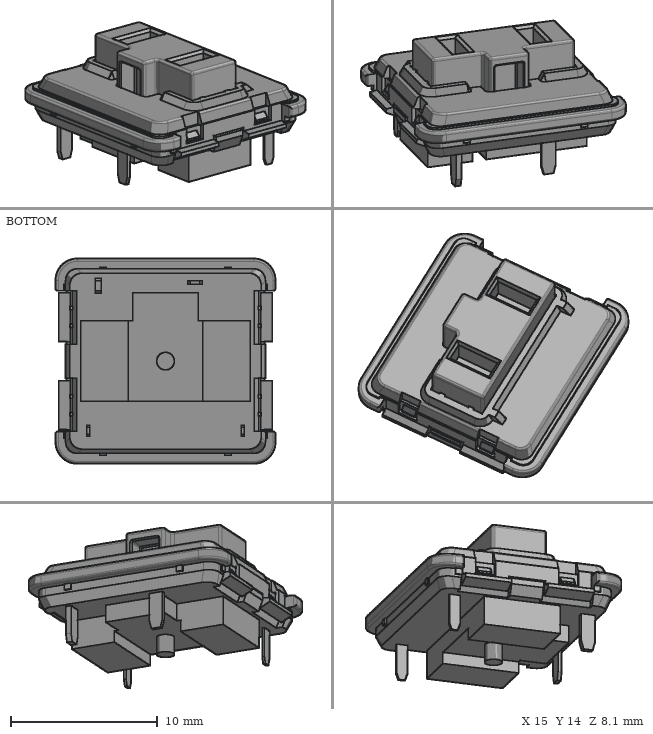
import cadquery as cq
import math


TAPER_TOP = 0.75
FLANGE_BOTTOM = 1.34
FLANGE_TOP = 2.18
LEDGE_TOP = 2.31
COVER_TOP = 3.08
COLLAR_TOP = 3.58
STEM_TOP = 5.56
BLOCK_BOTTOM = -2.02
CHANNEL_TOP = -1.22
PEG_BOTTOM = -2.46
LEG_BOTTOM = -2.54

FLANGE_X = 15.0
FLANGE_Y = 14.0
FLANGE_R = 1.5
EDGE_R = 0.18
WALL_X = 13.62
WALL_Y = 12.57
WALL_R = 0.8
FOOT_INSET = 0.3
BLOCK_X = 11.52
BLOCK_Y = 5.49
CHANNEL_HALF = 2.52
FRONT_BLOCK_HALF = 2.24
FRONT_BLOCK_END = -4.65
PEG_DIAMETER = 1.2
RECESS_X = 6.35
RECESS_Y = 4.78
KEY_HALF = 1.15
KEY_TOP = 1.15
RIB_BOTTOM = 0.93
RIB_OUT = 0.12
FRONT_RIB_X = 4.26
RIB_WIDTH = 0.46

SNAP_Y = 3.02
SNAP_WINDOW_WIDTH = 1.44
SNAP_WINDOW_BOTTOM = 1.25
SNAP_WINDOW_X = 6.16
NUB_WIDTH = 0.99
NUB_OUT = 0.28
NUB_TOP = 1.85
NUB_LIP_TOP = 1.47
NUB_BOTTOM = 1.34

LEDGE_X = 13.83
LEDGE_Y = 12.81
LEDGE_R = 0.75
LEDGE_CUT_Y = 5.1
DOME_X = 13.26
DOME_Y = 12.33
DOME_R = 0.81
DOME_INSET = 0.32
DOME_EDGE_R = 0.2
SKIRT_OUTER = 6.75
SKIRT_INNER = 6.5
SKIRT_HALF = 4.66
SKIRT_BOTTOM = 0.28
SKIRT_GAP_HALF = 1.34
SKIRT_GAP_TOP = 1.28
WING_TIP_X = 7.28
WING_ROOT_TOP = 1.02
WING_TIP_TOP = 0.93
WING_TIP_BOTTOM = 0.66
COLLAR_X = 12.21
COLLAR_Y = 5.43
COLLAR_R = 0.96
COLLAR_INSET = 0.28
COLLAR_GAP_HALF = 2.52
RAMP_X = 4.86
RAMP_WIDTH = 0.55
RAMP_CREST_Y = 2.9
RAMP_TOE_Y = 3.48

STEM_HALF_X = 5.19
STEM_HALF_Y = 2.0
STEM_R = 0.2
NOSE_HALF = 1.47
NOSE_Y = -3.16
HOLE_GAP = 0.1
GUIDE_Y = 1.11
GUIDE_WIDTH = 0.4
NOSE_HOLE_R = 0.38
POCKET_X = 2.82
POCKET_WIDTH = 1.2
POCKET_LENGTH = 3.0
POCKET_DEPTH = 1.8
POCKET_BEVEL = 0.2
NICHE_HALF = 1.02
NICHE_TOP = 4.89
NICHE_DEPTH = 1.36
NICHE_BEVEL = 0.1
NICHE_R = 0.12

PIN_WIDTH = 1.0
LEFT_PIN_THICKNESS = 0.4
RIGHT_PIN_THICKNESS = 0.27
PIN_TAPER_TOP = -1.95
LEFT_PIN_Y = -5.13
RIGHT_PIN_Y = -5.35
LEFT_PIN_X = -4.58
RIGHT_PIN_X = 2.01
LEG_X = 5.26
LEG_Y = 4.74
LEG_WIDTH = 0.78
LEG_THICKNESS = 0.18
LEG_TAPER_TOP = -2.08
TIP_INSET = 0.16

SIDES = (-1, 1)
PICK_MARGIN = 0.02


def box(x0, x1, y0, y1, z0, z1):
    """Box between two opposite corners, given in either order along each axis."""
    corner = (min(x0, x1), min(y0, y1), min(z0, z1))
    size = (abs(x1 - x0), abs(y1 - y0), abs(z1 - z0))
    return cq.Workplane("XY").box(*size, centered=False).translate(corner)


def rounded_slab(length, width, radius, bottom, top):
    """Upright slab with rounded corners, centred on the Z axis."""
    outline = cq.Sketch().rect(length, width).vertices().fillet(radius)
    return cq.Workplane("XY", origin=(0, 0, bottom)).placeSketch(outline).extrude(top - bottom)


def tapered_slab(length, width, radius, inset, wide_z, narrow_z):
    """Slab with the same corner radius at both ends, narrowing by the inset on every side."""
    wide = cq.Sketch().rect(length, width).vertices().fillet(radius)
    narrow = cq.Sketch().rect(length - 2 * inset, width - 2 * inset).vertices().fillet(radius)
    narrow = narrow.moved(cq.Location(cq.Vector(0, 0, narrow_z - wide_z)))
    return cq.Workplane("XY", origin=(0, 0, wide_z)).placeSketch(wide, narrow).loft()


def prism_along_y(points, y0, y1):
    """Outline of (x, z) points swept from y0 to y1."""
    return cq.Workplane("XZ", origin=(0, y1, 0)).polyline(points).close().extrude(y1 - y0)


def prism_along_x(points, x0, x1):
    """Outline of (y, z) points swept from x0 to x1."""
    return cq.Workplane("YZ", origin=(x0, 0, 0)).polyline(points).close().extrude(x1 - x0)


def side_recess(side, y0, y1):
    """Cutter for a side recess whose inner face follows the taper of the foot."""
    points = [
        (side * FLANGE_X, 0),
        (side * (RECESS_X - FOOT_INSET), 0),
        (side * RECESS_X, TAPER_TOP),
        (side * RECESS_X, FLANGE_TOP),
        (side * FLANGE_X, FLANGE_TOP),
    ]
    return prism_along_y(points, y0, y1)


def flange():
    """Rounded rim, split into a front and a rear part by the side recesses."""
    rim = rounded_slab(FLANGE_X, FLANGE_Y, FLANGE_R, FLANGE_BOTTOM, FLANGE_TOP)
    ends = rim
    for side in SIDES:
        gap = box(side * RECESS_X, side * FLANGE_X, -RECESS_Y, RECESS_Y, FLANGE_BOTTOM, FLANGE_TOP)
        ends = ends.cut(gap)
        for end in SIDES:
            corner = cq.selectors.NearestToPointSelector(
                (side * FLANGE_X / 2, end * RECESS_Y, (FLANGE_BOTTOM + FLANGE_TOP) / 2)
            )
            ends = ends.edges("|Z").edges(corner).fillet(EDGE_R)
    return ends.intersect(rim.faces("<Z or >Z").edges().fillet(EDGE_R))


def nub(side, y):
    """Snap wedge with a sloped top and a flat underside."""
    tip = RECESS_X + NUB_OUT
    root = RECESS_X - NUB_OUT
    points = [
        (side * root, NUB_BOTTOM),
        (side * tip, NUB_BOTTOM),
        (side * tip, NUB_LIP_TOP),
        (side * RECESS_X, NUB_TOP),
        (side * root, NUB_TOP),
    ]
    return prism_along_y(points, y - NUB_WIDTH / 2, y + NUB_WIDTH / 2)


def make_base():
    foot = tapered_slab(WALL_X, WALL_Y, WALL_R, FOOT_INSET, TAPER_TOP, 0)
    base = foot.union(rounded_slab(WALL_X, WALL_Y, WALL_R, TAPER_TOP, FLANGE_BOTTOM))
    base = base.union(flange())

    rib_x = WALL_X / 2 + RIB_OUT
    rib_y = WALL_Y / 2 + RIB_OUT
    for x in (-FRONT_RIB_X, FRONT_RIB_X):
        x0 = x - RIB_WIDTH / 2
        base = base.union(box(x0, x0 + RIB_WIDTH, -rib_y, rib_y, RIB_BOTTOM, FLANGE_BOTTOM))
    corner_y = RECESS_Y + RIB_WIDTH
    for y0, y1 in ((-corner_y, -RECESS_Y), (RECESS_Y, corner_y)):
        base = base.union(box(-rib_x, rib_x, y0, y1, RIB_BOTTOM, FLANGE_BOTTOM))

    for side in SIDES:
        base = base.cut(side_recess(side, -RECESS_Y, -KEY_HALF)).cut(side_recess(side, KEY_HALF, RECESS_Y))
        base = base.cut(box(side * RECESS_X, side * FLANGE_X, -KEY_HALF, KEY_HALF, KEY_TOP, FLANGE_TOP))
        for y in (-SNAP_Y, SNAP_Y):
            base = base.union(nub(side, y))

    base = base.union(box(-BLOCK_X / 2, BLOCK_X / 2, -BLOCK_Y / 2, BLOCK_Y / 2, BLOCK_BOTTOM, 0))
    base = base.cut(box(-CHANNEL_HALF, CHANNEL_HALF, -BLOCK_Y, BLOCK_Y, BLOCK_BOTTOM, CHANNEL_TOP))
    base = base.union(box(-FRONT_BLOCK_HALF, FRONT_BLOCK_HALF, FRONT_BLOCK_END, 0, CHANNEL_TOP, 0))
    peg = cq.Workplane("XY").workplane(offset=PEG_BOTTOM).circle(PEG_DIAMETER / 2).extrude(-PEG_BOTTOM)
    return base.union(peg)


def skirt(side):
    """Side wall with an outward wing along its lower edge."""
    points = [
        (side * SKIRT_INNER, FLANGE_TOP),
        (side * SKIRT_INNER, SKIRT_BOTTOM),
        (side * WING_TIP_X, WING_TIP_BOTTOM),
        (side * WING_TIP_X, WING_TIP_TOP),
        (side * SKIRT_OUTER, WING_ROOT_TOP),
        (side * SKIRT_OUTER, FLANGE_TOP),
    ]
    wall = prism_along_y(points, -SKIRT_HALF, SKIRT_HALF)
    return wall.cut(box(0, side * FLANGE_X, -SKIRT_GAP_HALF, SKIRT_GAP_HALF, 0, SKIRT_GAP_TOP))


def collar():
    """Tapered frame around the stem, open at the front."""
    height = COLLAR_TOP - COVER_TOP
    taper = math.degrees(math.atan(COLLAR_INSET / height))
    top_x = COLLAR_X - 2 * COLLAR_INSET
    top_y = COLLAR_Y - 2 * COLLAR_INSET
    gap_half = COLLAR_GAP_HALF + COLLAR_INSET
    outline = cq.Sketch().rect(top_x, top_y).vertices().fillet(COLLAR_R - COLLAR_INSET).reset()
    outline = outline.push([(0, -top_y / 2)]).rect(2 * gap_half, top_y, mode="s")
    frame = cq.Workplane("XY", origin=(0, 0, COLLAR_TOP)).placeSketch(outline).extrude(-height, taper=-taper)
    ramp = [
        (STEM_HALF_Y, COVER_TOP),
        (RAMP_TOE_Y, COVER_TOP),
        (RAMP_CREST_Y, COLLAR_TOP),
        (STEM_HALF_Y, COLLAR_TOP),
    ]
    for x in (-RAMP_X, RAMP_X):
        frame = frame.union(prism_along_x(ramp, x - RAMP_WIDTH / 2, x + RAMP_WIDTH / 2))
    return frame


def stem_hole():
    """Cutter for the stem's opening, with guide ribs left at both ends."""
    end_x = STEM_HALF_X + HOLE_GAP
    hole = box(-end_x, end_x, -STEM_HALF_Y, STEM_HALF_Y, FLANGE_TOP, COLLAR_TOP)
    slot_half = NOSE_HALF + STEM_R
    slot = box(-slot_half, slot_half, NOSE_Y, 0, FLANGE_TOP, COLLAR_TOP)
    hole = hole.union(slot.edges("|Z and <Y").fillet(NOSE_HOLE_R))
    for side in SIDES:
        for y in (-GUIDE_Y, GUIDE_Y):
            y0 = y - GUIDE_WIDTH / 2
            hole = hole.cut(box(side * STEM_HALF_X, side * end_x, y0, y0 + GUIDE_WIDTH, FLANGE_TOP, COLLAR_TOP))
    return hole


def make_cover():
    cover = rounded_slab(LEDGE_X, LEDGE_Y, LEDGE_R, FLANGE_TOP, LEDGE_TOP)
    for side in SIDES:
        flat = box(side * SKIRT_OUTER, side * FLANGE_X, -LEDGE_CUT_Y, LEDGE_CUT_Y, FLANGE_TOP, LEDGE_TOP)
        cover = cover.cut(flat)
    dome = tapered_slab(DOME_X, DOME_Y, DOME_R, DOME_INSET, LEDGE_TOP, COVER_TOP)
    cover = cover.union(dome.faces(">Z").edges().fillet(DOME_EDGE_R)).union(collar())
    for side in SIDES:
        cover = cover.union(skirt(side))
        for y in (-SNAP_Y, SNAP_Y):
            y0 = y - SNAP_WINDOW_WIDTH / 2
            y1 = y0 + SNAP_WINDOW_WIDTH
            window = box(side * SNAP_WINDOW_X, side * SKIRT_OUTER, y0, y1, SNAP_WINDOW_BOTTOM, COVER_TOP)
            cover = cover.cut(window)
    return cover.cut(stem_hole())


def add_niche(stem):
    """Niche in the nose, bevelled at its mouth and around its back wall."""
    back = NOSE_Y + NICHE_DEPTH
    niche = box(-NICHE_HALF, NICHE_HALF, NOSE_Y, back, FLANGE_TOP, NICHE_TOP)
    niche = niche.edges("|Y and >Z").fillet(NICHE_R)
    niche = niche.faces(">Y").edges("not <Z").chamfer(NICHE_BEVEL)
    pick_half = NICHE_HALF + PICK_MARGIN
    mouth = cq.selectors.BoxSelector(
        (-pick_half, NOSE_Y - PICK_MARGIN, FLANGE_TOP + PICK_MARGIN),
        (pick_half, NOSE_Y + PICK_MARGIN, NICHE_TOP + PICK_MARGIN),
    )
    return stem.cut(niche).edges(mouth).chamfer(NICHE_BEVEL)


def make_stem():
    stem = box(-STEM_HALF_X, STEM_HALF_X, -STEM_HALF_Y, STEM_HALF_Y, FLANGE_TOP, STEM_TOP)
    stem = stem.union(box(-NOSE_HALF, NOSE_HALF, NOSE_Y, 0, FLANGE_TOP, STEM_TOP))
    stem = stem.edges("|Z").fillet(STEM_R).faces(">Z").edges().fillet(STEM_R)
    for x in (-POCKET_X, POCKET_X):
        shaft = cq.Workplane("XY", origin=(x, 0, STEM_TOP)).rect(POCKET_WIDTH, POCKET_LENGTH).extrude(-POCKET_DEPTH)
        bevel = (
            cq.Workplane("XY", origin=(x, 0, STEM_TOP))
            .rect(POCKET_WIDTH + 2 * POCKET_BEVEL, POCKET_LENGTH + 2 * POCKET_BEVEL)
            .extrude(-POCKET_BEVEL, taper=45)
        )
        stem = stem.cut(shaft).cut(bevel)
    return add_niche(stem)


def make_blade(width, thickness, taper_top):
    """Flat blade along X, hanging from Z = 0, with a narrowed tip."""
    half = width / 2
    tip = half - TIP_INSET
    points = [
        (-half, 0),
        (half, 0),
        (half, taper_top),
        (tip, LEG_BOTTOM),
        (-tip, LEG_BOTTOM),
        (-half, taper_top),
    ]
    return prism_along_y(points, -thickness / 2, thickness / 2)


def turned(blade):
    """Blade turned to run along Y."""
    return blade.rotate((0, 0, 0), (0, 0, 1), 90)


base = make_base()
cover = make_cover()
stem = make_stem()
left_pin = turned(make_blade(PIN_WIDTH, LEFT_PIN_THICKNESS, PIN_TAPER_TOP))
left_pin = left_pin.translate((LEFT_PIN_X, LEFT_PIN_Y, 0))
right_pin = make_blade(PIN_WIDTH, RIGHT_PIN_THICKNESS, PIN_TAPER_TOP)
right_pin = right_pin.translate((RIGHT_PIN_X, RIGHT_PIN_Y, 0))
leg = turned(make_blade(LEG_WIDTH, LEG_THICKNESS, LEG_TAPER_TOP))
legs = [leg.translate((side * LEG_X, LEG_Y, 0)).val() for side in SIDES]

result = cq.Compound.makeCompound(
    [base.val(), cover.val(), stem.val(), left_pin.val(), right_pin.val(), *legs]
)